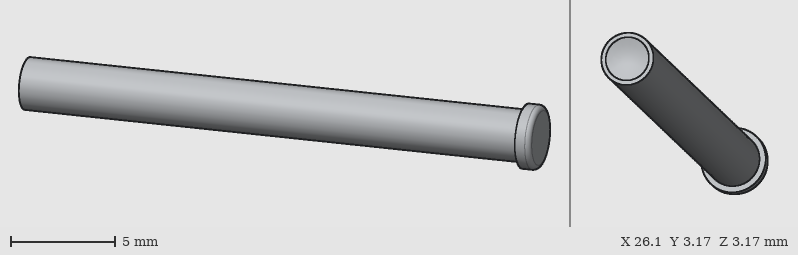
import cadquery as cq
import math

total_length = 26.15
shank_diameter = 2.56
head_diameter = 3.17
head_length = 0.75
head_fillet = 0.25

dish_diameter = 2.12
dish_depth = 0.2

shank_radius = shank_diameter / 2
head_radius = head_diameter / 2
dish_radius = dish_diameter / 2

free_end = -total_length / 2
head_end = total_length / 2
head_start = head_end - head_length

dish_sphere_radius = (dish_radius**2 + dish_depth**2) / (2 * dish_depth)
dish_half_angle = math.asin(dish_radius / dish_sphere_radius) / 2
dish_bottom = free_end + dish_depth
dish_mid_x = dish_bottom - dish_sphere_radius * (1 - math.cos(dish_half_angle))
dish_mid_radius = dish_sphere_radius * math.sin(dish_half_angle)

fillet_inset = head_fillet * (1 - math.sqrt(0.5))

half_section = (
    cq.Workplane("XY")
    .moveTo(dish_bottom, 0)
    .threePointArc((dish_mid_x, dish_mid_radius), (free_end, dish_radius))
    .lineTo(free_end, shank_radius)
    .lineTo(head_start, shank_radius)
    .lineTo(head_start, head_radius)
    .lineTo(head_end - head_fillet, head_radius)
    .threePointArc(
        (head_end - fillet_inset, head_radius - fillet_inset),
        (head_end, head_radius - head_fillet),
    )
    .lineTo(head_end, 0)
    .close()
)

result = half_section.revolve(360, (0, 0, 0), (1, 0, 0))